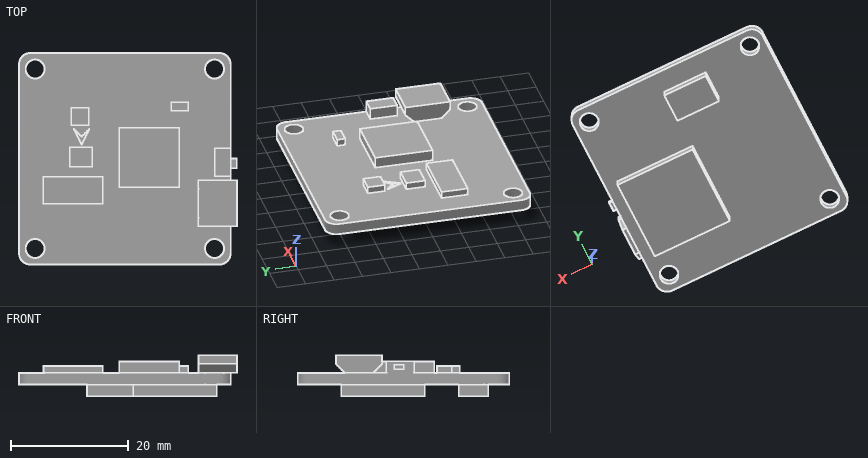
import cadquery as cq

BOARD_SIDE = 36.0
BOARD_THICKNESS = 2.0
CORNER_RADIUS = 2.0
HOLE_DIAMETER = 3.2
HOLE_SPACING = 30.5
BOARD_EDGE = BOARD_SIDE / 2

OVERALL_LENGTH = 37.1
OVERALL_HEIGHT = 7.0

LOW_CHIP_HEIGHT = 1.2
TALL_CHIP_HEIGHT = 1.93
UNDERSIDE_HEIGHT = 2.0

LOW_CHIPS = [
    (-7.6, 7.15, 3.0, 3.0),
    (-7.45, 0.35, 3.9, 3.3),
    (-8.8, -5.35, 10.13, 4.6),
    (9.35, 8.85, 2.9, 1.4),
]
PROCESSOR = (4.15, 0.2, 10.25, 10.1)
UNDERSIDE_CHIPS = [
    (8.53, -3.5, 14.25, 14.25),
    (-2.52, 11.9, 7.85, 5.05),
]

SWITCH_LENGTH = 2.7
SWITCH_WIDTH = 4.75
SWITCH_HEIGHT = 2.0
SWITCH_Y = -0.55
PLUNGER_REACH = 1.05
PLUNGER_WIDTH = 1.67
PLUNGER_Y = -0.78
PLUNGER_HEIGHT = 0.75
PLUNGER_BASE = (SWITCH_HEIGHT - PLUNGER_HEIGHT) / 2

CONNECTOR_LENGTH = 6.55
CONNECTOR_WIDTH = 7.85
CONNECTOR_HEIGHT = OVERALL_HEIGHT - BOARD_THICKNESS - UNDERSIDE_HEIGHT
CONNECTOR_CHAMFER = CONNECTOR_HEIGHT / 2
CONNECTOR_END = OVERALL_LENGTH - BOARD_EDGE
CONNECTOR_Y = -7.55

ARROW_X = -7.35
ARROW_TIP_Y = 2.4
ARROW_LENGTH = 2.67
ARROW_NOTCH = ARROW_LENGTH / 2
ARROW_HALF_WIDTH = ARROW_LENGTH / 2
ARROW_THICKNESS = 0.1


def block(x, y, length, width, height, base=0):
    """Box centred at (x, y), rising from the given base level."""
    return (
        cq.Workplane("XY")
        .box(length, width, height, centered=(True, True, False))
        .translate((x, y, base))
    )


def make_bare_board():
    """Rounded square plate with four corner mounting holes."""
    return (
        block(0, 0, BOARD_SIDE, BOARD_SIDE, BOARD_THICKNESS, -BOARD_THICKNESS)
        .edges("|Z")
        .fillet(CORNER_RADIUS)
        .faces(">Z")
        .workplane()
        .rect(HOLE_SPACING, HOLE_SPACING, forConstruction=True)
        .vertices()
        .hole(HOLE_DIAMETER)
    )


def make_switch():
    """Push-button case with its plunger projecting past the board edge."""
    case = block(BOARD_EDGE - SWITCH_LENGTH / 2, SWITCH_Y, SWITCH_LENGTH, SWITCH_WIDTH, SWITCH_HEIGHT)
    plunger = block(
        BOARD_EDGE + PLUNGER_REACH / 2, PLUNGER_Y, PLUNGER_REACH, PLUNGER_WIDTH, PLUNGER_HEIGHT, PLUNGER_BASE
    )
    return case.union(plunger)


def make_connector():
    """Connector shell with both lower long edges chamfered."""
    shell = block(
        CONNECTOR_END - CONNECTOR_LENGTH / 2, CONNECTOR_Y, CONNECTOR_LENGTH, CONNECTOR_WIDTH, CONNECTOR_HEIGHT
    )
    return shell.edges("|X and <Z").chamfer(CONNECTOR_CHAMFER)


def make_board():
    """Board with all of its soldered components, as one solid."""
    board = make_bare_board()
    for chip in LOW_CHIPS:
        board = board.union(block(*chip, LOW_CHIP_HEIGHT))
    board = board.union(block(*PROCESSOR, TALL_CHIP_HEIGHT))
    for chip in UNDERSIDE_CHIPS:
        board = board.union(block(*chip, UNDERSIDE_HEIGHT, -BOARD_THICKNESS - UNDERSIDE_HEIGHT))
    return board.union(make_switch()).union(make_connector())


def make_arrow():
    """Thin notched arrowhead lying on the board."""
    tail_y = ARROW_TIP_Y + ARROW_LENGTH
    outline = [
        (ARROW_X, ARROW_TIP_Y),
        (ARROW_X + ARROW_HALF_WIDTH, tail_y),
        (ARROW_X, tail_y - ARROW_NOTCH),
        (ARROW_X - ARROW_HALF_WIDTH, tail_y),
    ]
    return cq.Workplane("XY").polyline(outline).close().extrude(ARROW_THICKNESS)


board = make_board()
arrow = make_arrow()

result = cq.Compound.makeCompound([board.val(), arrow.val()])